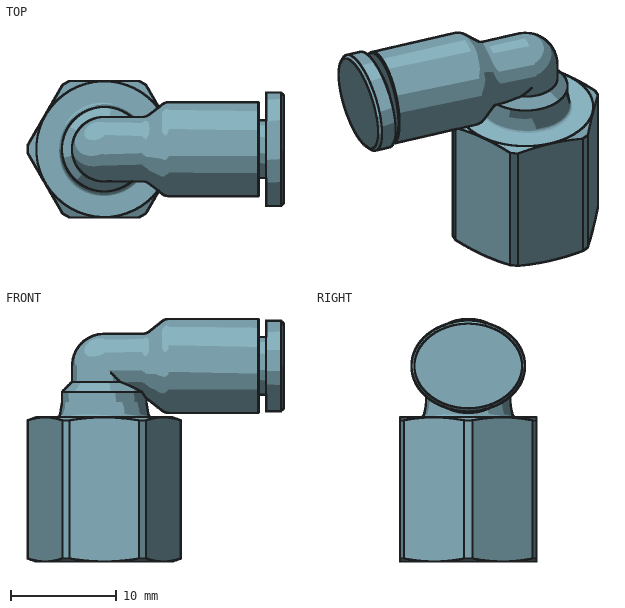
import cadquery as cq
import math

HEX_ACROSS_FLATS = 13.0
HEX_CORNER_RADIUS = 7.3
HEX_HEIGHT = 13.74
HEX_FACE_RADIUS = 6.47
HEX_CHAMFER_HEIGHT = 0.3

ARM_RADIUS = 3.07
SLEEVE_RADIUS = 4.5
TOTAL_HEIGHT = 23.1
ELBOW_HEIGHT = TOTAL_HEIGHT - SLEEVE_RADIUS

NECK_RADIUS = 4.03
NECK_TAPER_RADIUS = 4.22
NECK_FOOT_RADIUS = 4.5
NECK_FOOT_HEIGHT = 0.27
NECK_TAPER_HEIGHT = 1.15
NECK_BAND_HEIGHT = 1.0
NECK_SHOULDER_HEIGHT = NECK_RADIUS - ARM_RADIUS

TOTAL_LENGTH = 24.4
ARM_LENGTH = 3.65
FLARE_ANGLE = math.radians(38.4)
FLARE_BLEND_RADIUS = 1.0
SLEEVE_END = 14.74
SLEEVE_EDGE_CHAMFER = 0.1

STEM_RADIUS = 2.75
COLLAR_THICKNESS = 1.68
COLLAR_HALF_WIDTH = 5.42
COLLAR_HALF_HEIGHT = 4.32
COLLAR_CHAMFER = 0.3
COLLAR_END = TOTAL_LENGTH - HEX_CORNER_RADIUS
COLLAR_START = COLLAR_END - COLLAR_THICKNESS


def hex_body():
    """Hexagonal prism with its corners turned down and both ends chamfered."""
    across_corners = HEX_ACROSS_FLATS / math.cos(math.pi / 6)
    prism = cq.Workplane("XY").polygon(6, across_corners).extrude(HEX_HEIGHT)
    turned_envelope = (
        cq.Workplane("XY")
        .circle(HEX_CORNER_RADIUS)
        .extrude(HEX_HEIGHT)
        .faces("<Z or >Z")
        .chamfer(HEX_CHAMFER_HEIGHT, HEX_CORNER_RADIUS - HEX_FACE_RADIUS)
    )
    return prism.intersect(turned_envelope)


def neck():
    """Stepped neck turned about Z, closed by the ball of the elbow."""
    foot_top = HEX_HEIGHT + NECK_FOOT_HEIGHT
    taper_top = foot_top + NECK_TAPER_HEIGHT
    band_top = taper_top + NECK_BAND_HEIGHT
    shoulder_top = band_top + NECK_SHOULDER_HEIGHT
    ball_offset = ARM_RADIUS * math.sqrt(0.5)
    return (
        cq.Workplane("XZ")
        .moveTo(0, ELBOW_HEIGHT + ARM_RADIUS)
        .threePointArc((ball_offset, ELBOW_HEIGHT + ball_offset), (ARM_RADIUS, ELBOW_HEIGHT))
        .lineTo(ARM_RADIUS, shoulder_top)
        .lineTo(NECK_RADIUS, band_top)
        .lineTo(NECK_RADIUS, taper_top)
        .lineTo(NECK_TAPER_RADIUS, foot_top)
        .tangentArcPoint((NECK_FOOT_RADIUS, HEX_HEIGHT), relative=False)
        .lineTo(0, HEX_HEIGHT)
        .close()
        .revolve(360, (0, 0), (0, 1))
    )


def arm():
    """Horizontal arm flaring smoothly into the sleeve, with the collar stem."""
    blend_length = FLARE_BLEND_RADIUS * math.sin(FLARE_ANGLE)
    blend_rise = FLARE_BLEND_RADIUS * (1 - math.cos(FLARE_ANGLE))
    cone_rise = SLEEVE_RADIUS - ARM_RADIUS - 2 * blend_rise
    cone_start = ARM_LENGTH + blend_length
    cone_end = cone_start + cone_rise / math.tan(FLARE_ANGLE)
    sleeve_start = cone_end + blend_length
    return (
        cq.Workplane("XZ", origin=(0, 0, ELBOW_HEIGHT))
        .lineTo(0, ARM_RADIUS)
        .lineTo(ARM_LENGTH, ARM_RADIUS)
        .tangentArcPoint((cone_start, ARM_RADIUS + blend_rise), relative=False)
        .lineTo(cone_end, SLEEVE_RADIUS - blend_rise)
        .tangentArcPoint((sleeve_start, SLEEVE_RADIUS), relative=False)
        .lineTo(SLEEVE_END - SLEEVE_EDGE_CHAMFER, SLEEVE_RADIUS)
        .lineTo(SLEEVE_END, SLEEVE_RADIUS - SLEEVE_EDGE_CHAMFER)
        .lineTo(SLEEVE_END, STEM_RADIUS)
        .lineTo(COLLAR_START, STEM_RADIUS)
        .lineTo(COLLAR_START, 0)
        .close()
        .revolve(360, (0, 0), (1, 0))
    )


def collar():
    """Oval release collar with a chamfered outer rim."""
    return (
        cq.Workplane("YZ", origin=(COLLAR_START, 0, ELBOW_HEIGHT))
        .ellipse(COLLAR_HALF_WIDTH, COLLAR_HALF_HEIGHT)
        .extrude(COLLAR_THICKNESS)
        .faces(">X")
        .chamfer(COLLAR_CHAMFER)
    )


result = hex_body().union(neck()).union(arm()).union(collar())